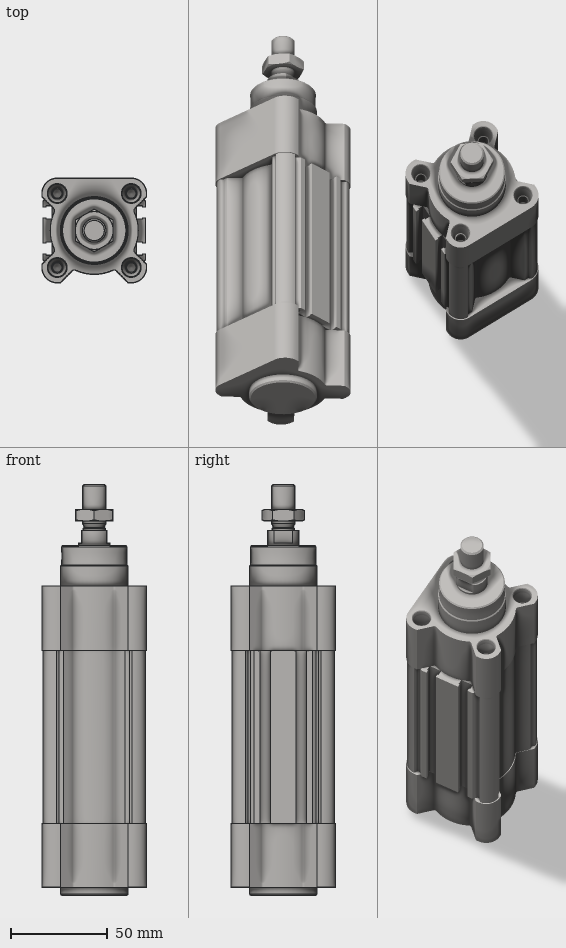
import cadquery as cq
import math

TOTAL_HEIGHT = 212.0
REAR_COLLAR_HEIGHT = 4.2
REAR_CAP_TOP = 37.0
FRONT_CAP_BOTTOM = 126.3
FRONT_CAP_TOP = 159.5
COLLAR_STEP_Z = 170.4
COLLAR_TOP = 180.3
ROD_SHOULDER_Z = 188.2
NECK_TOP = 189.7
THREAD_BOTTOM = 191.8
NUT_BOTTOM = 193.0
NUT_HEIGHT = 6.0

CAP_WIDTH = 54.0
CAP_BODY_RADIUS = 22.7
HOLE_OFFSET = 19.0
CAP_LOBE_WIDTH = 13.5
LOBE_ROOT_FILLET = 1.3
COLLAR_DIAMETER = 35.0
COLLAR_NOSE_DIAMETER = 34.0
COLLAR_WAIST_DIAMETER = 33.5
COLLAR_CHAMFER = 0.6
REAR_COLLAR_CHAMFER = 0.8

RECESS_MOUTH_DIAMETER = 10.2
RECESS_DIAMETER = 9.5
RECESS_CHAMFER = 0.5
SEAT_DIAMETER = 9.0
RECESS_DEPTH = 3.2
CORE_MOUTH_DIAMETER = 6.0
CORE_DIAMETER = 4.9
TAPER_DEPTH = 6.4
HOLE_DEPTH = 19.0
DRILL_TIP_DEPTH = 1.5

BARREL_WIDTH = 53.0
BARREL_BODY_RADIUS = 22.2
BARREL_LOBE_WIDTH = 13.1
LOBE_NOTCH_START = 19.5
LOBE_NOTCH_DEPTH = 1.3
GROOVE_INNER_EDGE = 15.0
GROOVE_DEPTH = 2.0
GROOVE_FLOOR_OUTER = 18.2
SLOT_MOUTH_NEAR = 6.5
SLOT_MOUTH_FAR = 12.0
SLOT_UNDERCUT = 0.6
SLOT_LIP_THICKNESS = 1.7
SLOT_DEPTH = 4.7

ROD_DIAMETER = 16.0
ROD_FLATS_WIDTH = 13.1
ROD_FLATS_BOTTOM = 181.5
NECK_DIAMETER = 11.5
NECK_CHAMFER = 0.5
RUNOUT_DIAMETER = 10.2
THREAD_DIAMETER = 12.0
THREAD_CHAMFER = 0.8
NUT_WIDTH = 19.0
NUT_CHAMFER_WIDTH = 1.3
NUT_CHAMFER_HEIGHT = 0.6

CORNERS = [(sx * HOLE_OFFSET, sy * HOLE_OFFSET) for sx in (-1, 1) for sy in (-1, 1)]
OUTSIDE = 2.1
RADIUS_TOLERANCE = 0.2


def distance_from_axis(edge):
    return math.hypot(edge.Center().x, edge.Center().y)


def slab(bottom, top, x_min, x_max, y_min, y_max):
    """Block between the given limits."""
    return cq.Workplane("XY").box(
        x_max - x_min, y_max - y_min, top - bottom, centered=False
    ).translate((x_min, y_min, bottom))


def lobed_prism(width, body_radius, lobe_width, bottom, top):
    """Round body with a rounded lobe on each diagonal of a square."""
    height = top - bottom
    base = cq.Workplane("XY").workplane(offset=bottom)
    square = base.rect(width, width).extrude(height).edges("|Z").fillet(width / 2 - HOLE_OFFSET)
    star = base.circle(body_radius).extrude(height)
    for angle in (45, 135):
        arm = base.transformed(rotate=(0, 0, angle)).rect(2 * width, lobe_width).extrude(height)
        star = star.union(arm)
    prism = square.intersect(star)
    roots = prism.edges("|Z").filter(lambda edge: distance_from_axis(edge) < body_radius + RADIUS_TOLERANCE)
    return roots.fillet(LOBE_ROOT_FILLET)


def end_cap(bottom, top):
    """Lobed cap whose +Y side is full and flat."""
    filler = slab(bottom, top, -HOLE_OFFSET, HOLE_OFFSET, HOLE_OFFSET / 2, CAP_WIDTH / 2)
    return lobed_prism(CAP_WIDTH, CAP_BODY_RADIUS, CAP_LOBE_WIDTH, bottom, top).union(filler)


def barrel_cutter(points):
    """Prism over the barrel length from an XY outline."""
    base = cq.Workplane("XY").workplane(offset=REAR_CAP_TOP)
    return base.polyline(points).close().extrude(FRONT_CAP_BOTTOM - REAR_CAP_TOP)


def barrel():
    """Extruded tube profile with two T slots in each X side."""
    half = BARREL_WIDTH / 2
    over = half + OUTSIDE
    body = lobed_prism(BARREL_WIDTH, BARREL_BODY_RADIUS, BARREL_LOBE_WIDTH, REAR_CAP_TOP, FRONT_CAP_BOTTOM)
    body = body.union(
        slab(REAR_CAP_TOP, FRONT_CAP_BOTTOM, -half, half, -HOLE_OFFSET, HOLE_OFFSET)
    )

    notch_floor = half - LOBE_NOTCH_DEPTH
    lobe_notch = [
        (LOBE_NOTCH_START, over),
        (LOBE_NOTCH_START, half),
        (LOBE_NOTCH_START - LOBE_NOTCH_DEPTH, notch_floor),
        (0, notch_floor),
        (0, over),
    ]
    groove_floor = half - GROOVE_DEPTH
    groove = [
        (over, LOBE_NOTCH_START),
        (half, LOBE_NOTCH_START),
        (groove_floor, GROOVE_FLOOR_OUTER),
        (groove_floor, GROOVE_INNER_EDGE + GROOVE_DEPTH),
        (half, GROOVE_INNER_EDGE),
        (over, GROOVE_INNER_EDGE),
    ]
    lip_back = half - SLOT_LIP_THICKNESS
    slot_floor = half - SLOT_DEPTH
    slot = [
        (over, SLOT_MOUTH_NEAR),
        (lip_back, SLOT_MOUTH_NEAR),
        (lip_back, SLOT_MOUTH_NEAR - SLOT_UNDERCUT),
        (slot_floor, SLOT_MOUTH_NEAR - SLOT_UNDERCUT),
        (slot_floor, SLOT_MOUTH_FAR + SLOT_UNDERCUT),
        (lip_back, SLOT_MOUTH_FAR + SLOT_UNDERCUT),
        (lip_back, SLOT_MOUTH_FAR),
        (over, SLOT_MOUTH_FAR),
    ]
    for outline in (lobe_notch, groove, slot):
        for sx in (-1, 1):
            for sy in (-1, 1):
                body = body.cut(barrel_cutter([(sx * x, sy * y) for x, y in outline]))
    return body


def revolved(profile):
    """Solid of revolution about Z from (radius, z) points."""
    return cq.Workplane("XZ").polyline(profile).close().revolve(360, (0, 0), (0, 1))


def collars():
    """Stepped front bearing collar and short rear centring collar."""
    radius = COLLAR_DIAMETER / 2
    nose_radius = COLLAR_NOSE_DIAMETER / 2
    nose_top = COLLAR_TOP - COLLAR_CHAMFER
    profile = (
        cq.Workplane("XZ")
        .moveTo(0, FRONT_CAP_TOP)
        .lineTo(radius, FRONT_CAP_TOP)
        .lineTo(radius, COLLAR_STEP_Z - COLLAR_CHAMFER)
        .lineTo(nose_radius, COLLAR_STEP_Z)
        .threePointArc((COLLAR_WAIST_DIAMETER / 2, (COLLAR_STEP_Z + nose_top) / 2), (nose_radius, nose_top))
        .lineTo(nose_radius - COLLAR_CHAMFER, COLLAR_TOP)
        .lineTo(0, COLLAR_TOP)
        .close()
    )
    front = profile.revolve(360, (0, 0), (0, 1))
    rear = cq.Workplane("XY").circle(radius).extrude(REAR_COLLAR_HEIGHT)
    return front, rear.faces("<Z").chamfer(REAR_COLLAR_CHAMFER)


def screw_hole():
    """Screw recess with a chamfered blind hole ending in a drill tip, mouth at the cap face."""
    recess_z = FRONT_CAP_TOP - RECESS_DEPTH
    core_z = recess_z - TAPER_DEPTH
    bottom = FRONT_CAP_TOP - HOLE_DEPTH
    return revolved([
        (0, FRONT_CAP_TOP),
        (RECESS_MOUTH_DIAMETER / 2, FRONT_CAP_TOP),
        (RECESS_DIAMETER / 2, FRONT_CAP_TOP - RECESS_CHAMFER),
        (SEAT_DIAMETER / 2, recess_z),
        (CORE_MOUTH_DIAMETER / 2, core_z),
        (CORE_DIAMETER / 2, core_z),
        (CORE_DIAMETER / 2, bottom),
        (0, bottom - DRILL_TIP_DEPTH),
    ])


def make_housing():
    """Barrel, both end caps and their collars as one body, with the corner screw holes."""
    housing = barrel()
    rear_cap = end_cap(REAR_COLLAR_HEIGHT, REAR_CAP_TOP)
    front_cap = end_cap(FRONT_CAP_BOTTOM, FRONT_CAP_TOP)
    for part in (rear_cap, front_cap, *collars()):
        housing = housing.union(part)
    for x, y in CORNERS:
        housing = housing.cut(screw_hole().translate((x, y, 0)))
    return housing


def make_rod():
    """Rod end standing on the collar: wrench flats, neck and threaded stud."""
    rod = revolved([
        (0, COLLAR_TOP),
        (ROD_DIAMETER / 2, COLLAR_TOP),
        (ROD_DIAMETER / 2, ROD_SHOULDER_Z),
        (NECK_DIAMETER / 2, ROD_SHOULDER_Z),
        (NECK_DIAMETER / 2, NECK_TOP - NECK_CHAMFER),
        (NECK_DIAMETER / 2 - NECK_CHAMFER, NECK_TOP),
        (RUNOUT_DIAMETER / 2, NECK_TOP),
        (THREAD_DIAMETER / 2, THREAD_BOTTOM),
        (THREAD_DIAMETER / 2, TOTAL_HEIGHT - THREAD_CHAMFER),
        (THREAD_DIAMETER / 2 - THREAD_CHAMFER, TOTAL_HEIGHT),
        (0, TOTAL_HEIGHT),
    ])
    for side in (-1, 1):
        x_limits = sorted((side * ROD_FLATS_WIDTH / 2, side * ROD_DIAMETER))
        rod = rod.cut(slab(ROD_FLATS_BOTTOM, ROD_SHOULDER_Z, *x_limits, -ROD_DIAMETER, ROD_DIAMETER))
    return rod


def make_nut():
    """Hexagon nut with flats facing X and corners chamfered at both ends."""
    top = NUT_BOTTOM + NUT_HEIGHT
    corner_radius = NUT_WIDTH / math.sqrt(3)
    face_radius = corner_radius - NUT_CHAMFER_WIDTH
    hexagon = (
        cq.Workplane("XY").workplane(offset=NUT_BOTTOM)
        .transformed(rotate=(0, 0, 90))
        .polygon(6, 2 * corner_radius)
        .extrude(NUT_HEIGHT)
    )
    rounding = revolved([
        (0, NUT_BOTTOM),
        (face_radius, NUT_BOTTOM),
        (corner_radius, NUT_BOTTOM + NUT_CHAMFER_HEIGHT),
        (corner_radius, top - NUT_CHAMFER_HEIGHT),
        (face_radius, top),
        (0, top),
    ])
    base = cq.Workplane("XY").workplane(offset=NUT_BOTTOM)
    thread_hole = base.circle(THREAD_DIAMETER / 2).extrude(NUT_HEIGHT)
    return hexagon.intersect(rounding).cut(thread_hole)


housing = make_housing()
rod = make_rod()
nut = make_nut()

result = cq.Compound.makeCompound([housing.val(), rod.val(), nut.val()])